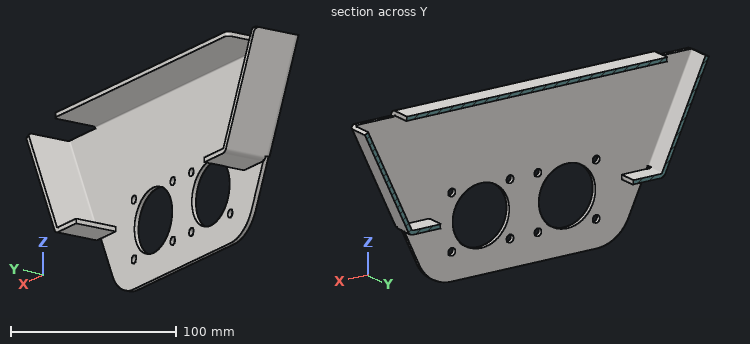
import cadquery as cq
import math

thickness = 3.0
inner_bend_radius = 1.0
bend_radius = inner_bend_radius + thickness
depth = 33.3
flange_corner_radius = 3.0

overall_width = 254
overall_height = 118.4
plate_top = overall_height - bend_radius
taper_angle = math.radians(25)
taper_sin = math.sin(taper_angle)
taper_cos = math.cos(taper_angle)
plate_half_top = overall_width / 2 - bend_radius * taper_cos
plate_half_bottom = plate_half_top - plate_top * math.tan(taper_angle)
plate_corner_radius = 26.0

top_flange_width = 192.0
side_flange_length = 76.0
lip_length = 20.3
lip_front = 4.5

opening_diameter = 41.7
opening_offset = 31.7
opening_height = 38
screw_diameter = 5
screw_spacing_x = 43.0
screw_spacing_z = 38


def make_plate():
    outline = [
        (-plate_half_bottom, 0),
        (plate_half_bottom, 0),
        (plate_half_top, plate_top),
        (-plate_half_top, plate_top),
    ]
    plate = cq.Workplane("XZ").polyline(outline).close().extrude(-thickness)
    return plate.edges("|Y").edges("<Z").fillet(plate_corner_radius)


def make_flange(start, outward, along, length):
    """Bend from a plate edge into a rearward flange; start is the edge's front corner."""
    section_plane = cq.Plane(origin=start, xDir=outward, normal=along)
    diagonal = math.sqrt(0.5)
    outer_mid = (bend_radius * diagonal, -bend_radius * (1 - diagonal))
    inner_mid = (inner_bend_radius * diagonal, -bend_radius + inner_bend_radius * diagonal)
    return (
        cq.Workplane(section_plane)
        .moveTo(0, 0)
        .threePointArc(outer_mid, (bend_radius, -bend_radius))
        .lineTo(bend_radius, -depth)
        .lineTo(inner_bend_radius, -depth)
        .lineTo(inner_bend_radius, -bend_radius)
        .threePointArc(inner_mid, (0, -thickness))
        .close()
        .extrude(length)
    )


def make_top_flange():
    flange = make_flange((-top_flange_width / 2, 0, plate_top), (0, 0, 1), (1, 0, 0), top_flange_width)
    return flange.edges("|Z").edges(">Y").fillet(flange_corner_radius)


def make_lip():
    """Bend at the lower end of the right side flange and the level lip running inward."""
    center_x = plate_half_top - side_flange_length * taper_sin
    center_z = plate_top - side_flange_length * taper_cos
    mid_angle = -(taper_angle + math.pi / 2) / 2

    def bend_point(radius, angle):
        return (center_x + radius * math.cos(angle), center_z + radius * math.sin(angle))

    return (
        cq.Workplane("XZ", origin=(0, lip_front, 0))
        .moveTo(*bend_point(bend_radius, -taper_angle))
        .threePointArc(bend_point(bend_radius, mid_angle), (center_x, center_z - bend_radius))
        .lineTo(center_x - lip_length, center_z - bend_radius)
        .lineTo(center_x - lip_length, center_z - inner_bend_radius)
        .lineTo(center_x, center_z - inner_bend_radius)
        .threePointArc(
            bend_point(inner_bend_radius, mid_angle),
            bend_point(inner_bend_radius, -taper_angle),
        )
        .close()
        .extrude(lip_front - depth)
    )


def make_side_flange():
    outward = (taper_cos, 0, -taper_sin)
    downward = (-taper_sin, 0, -taper_cos)
    flange = make_flange((plate_half_top, 0, plate_top), outward, downward, side_flange_length)
    flange = flange.faces(">Y").edges(">Z").fillet(flange_corner_radius)
    return flange.union(make_lip())


def make_holes():
    opening_centers = [(side * opening_offset, opening_height) for side in (-1, 1)]
    openings = (
        cq.Workplane("XZ").pushPoints(opening_centers).circle(opening_diameter / 2).extrude(-thickness)
    )
    screw_centers = [
        (x + side_x * screw_spacing_x / 2, z + side_z * screw_spacing_z / 2)
        for x, z in opening_centers
        for side_x in (-1, 1)
        for side_z in (-1, 1)
    ]
    screws = cq.Workplane("XZ").pushPoints(screw_centers).circle(screw_diameter / 2).extrude(-thickness)
    return openings.union(screws)


side_flange = make_side_flange()
result = (
    make_plate()
    .union(make_top_flange())
    .union(side_flange)
    .union(side_flange.mirror("YZ"))
    .cut(make_holes())
)